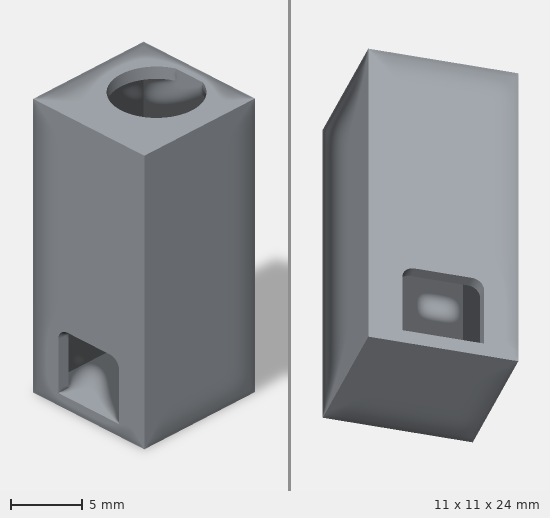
import cadquery as cq

height = 24.0
side = 11.0
wall = 1.0

opening_diameter = 7.0
opening_center_y = 1.25

window_width = 6.0
window_height = 5.3
window_corner_radius = 0.9

cavity_side = side - 2 * wall
cavity_height = height - 2 * wall
cavity_back_y = cavity_side / 2
front_y = -side / 2


def make_block():
    """Square column standing on Z = 0 and centred on the Z axis."""
    return cq.Workplane("XY").rect(side, side).extrude(height)


def make_cavity():
    """Square inner space, one wall thickness inside every outer face."""
    return (
        cq.Workplane("XY")
        .workplane(offset=wall)
        .rect(cavity_side, cavity_side)
        .extrude(cavity_height)
    )


def make_roof_opening():
    """Round cutter through the roof, trimmed flush with the cavity's back face."""
    round_cutter = (
        cq.Workplane("XY")
        .workplane(offset=height - wall)
        .center(0, opening_center_y)
        .circle(opening_diameter / 2)
        .extrude(wall)
    )
    back_wall = (
        cq.Workplane("XY")
        .box(side, wall, height, centered=(True, False, False))
        .translate((0, cavity_back_y, 0))
    )
    return round_cutter.cut(back_wall)


def make_window():
    """Cutter through the front wall with its two upper corners rounded."""
    return (
        cq.Workplane("XY")
        .box(window_width, wall, window_height, centered=(True, False, False))
        .edges("|Y and >Z")
        .fillet(window_corner_radius)
        .translate((0, front_y, wall))
    )


result = make_block().cut(make_cavity()).cut(make_roof_opening()).cut(make_window())